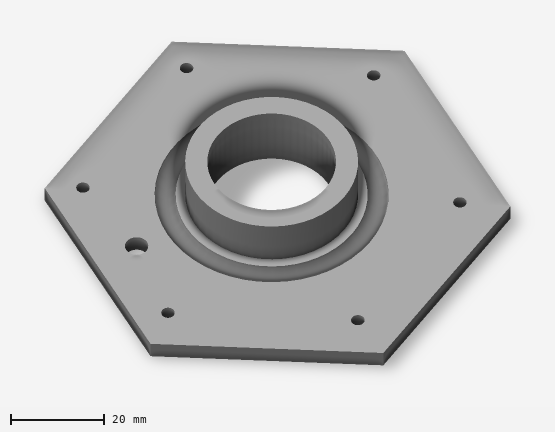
import cadquery as cq
import math

plate_across_corners = 99.6
plate_thickness = 4.0
total_height = 14.5

hub_x = -1.5
hub_diameter = 37.0
bore_diameter = 27.5

groove_outer_diameter = 50.0
groove_inner_diameter = 41.0

mount_hole_diameter = 2.9
mount_hole_pairs = [(33.5, 20.0), (-1.7, 40.35), (-36.4, 20.3)]
side_hole_diameter = 5.0
side_hole_radius = 32.4
side_hole_angle = 240


def hub_cylinder(diameter, height):
    """Cylinder on the hub axis, rising from the underside of the plate."""
    return cq.Workplane("XY").center(hub_x, 0).circle(diameter / 2).extrude(height)


def plate_hole(diameter, x, y):
    """Cutter through the full plate thickness."""
    return cq.Workplane("XY").center(x, y).circle(diameter / 2).extrude(plate_thickness)


def ring_groove():
    """Torus centred on the plate's top face; its lower half cuts the groove."""
    centre_radius = (groove_outer_diameter + groove_inner_diameter) / 4
    section_radius = (groove_outer_diameter - groove_inner_diameter) / 4
    torus = cq.Solid.makeTorus(centre_radius, section_radius)
    return cq.Workplane(obj=torus).translate((hub_x, 0, plate_thickness))


plate = (
    cq.Workplane("XY")
    .polygon(6, plate_across_corners)
    .extrude(plate_thickness)
    .rotate((0, 0, 0), (0, 0, 1), 30)
)

result = plate.cut(ring_groove())
result = result.union(hub_cylinder(hub_diameter, total_height))
result = result.cut(hub_cylinder(bore_diameter, total_height))

for mount_x, mount_offset in mount_hole_pairs:
    for mount_y in (mount_offset, -mount_offset):
        result = result.cut(plate_hole(mount_hole_diameter, mount_x, mount_y))

side_hole_x = hub_x + side_hole_radius * math.cos(math.radians(side_hole_angle))
side_hole_y = side_hole_radius * math.sin(math.radians(side_hole_angle))
result = result.cut(plate_hole(side_hole_diameter, side_hole_x, side_hole_y))